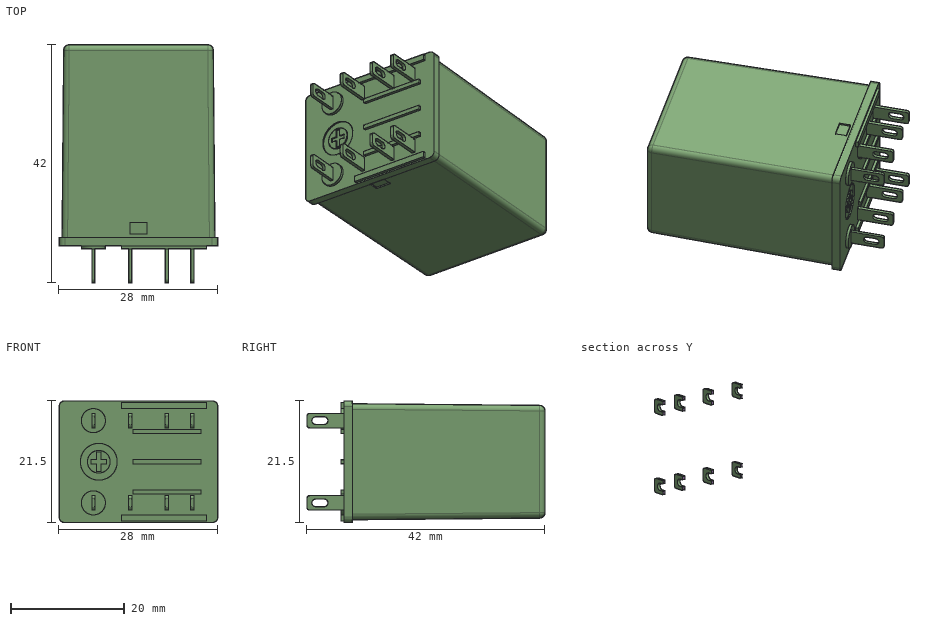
import cadquery as cq
import math


flange_width = 28.0
flange_height = 21.5
flange_thickness = 1.5
flange_corner_radius = 1.0

case_width = 27.0
case_height = 20.5
case_length = 34.0
case_draft_angle = 0.5
case_edge_radius = 1.0

window_width = 3.0
window_length = 2.0
window_depth = 0.3
window_gap = 0.6

raised_height = 0.5
outer_rib_length = 15.0
outer_rib_thickness = 1.1
outer_rib_center_x = 4.5
outer_rib_edge_gap = 0.3
inner_rib_length = 12.0
inner_rib_thickness = 0.75
inner_rib_center_x = 5.0
inner_rib_pitch = 5.35
boss_diameter = 4.25

coil_terminal_x = -7.95
contact_terminal_xs = (-1.45, 5.0, 9.5)
terminal_row_z = 7.25
terminal_length = 6.5
terminal_width = 2.6
coil_terminal_thickness = 0.5
contact_terminal_thickness = 0.6
terminal_tip_radius = 0.5
eyelet_length = 2.8
eyelet_width = 1.3
eyelet_tip_distance = 2.3

key_x = -7.0
key_diameter = 6.5
key_depth = 0.25
button_diameter = 4.0
cross_slot_width = 0.75
cross_arm_length_x = 2.7
cross_arm_length_z = 3.5
cross_depth = 0.25


def box_between_y(size_x, size_z, center_x, center_z, y_start, y_end):
    """Block with the given XZ section and Y range."""
    block = cq.Workplane("XY").box(size_x, y_end - y_start, size_z)
    return block.translate((center_x, (y_start + y_end) / 2, center_z))


def disc_between_y(diameter, center_x, center_z, y_start, y_end):
    """Cylinder along Y with the given Y range."""
    disc = cq.Workplane("XZ", origin=(center_x, y_end, center_z)).circle(diameter / 2)
    return disc.extrude(y_end - y_start)


def make_flange():
    flange = box_between_y(flange_width, flange_height, 0, 0, 0, flange_thickness)
    return flange.edges("|Y").fillet(flange_corner_radius)


def make_case():
    """Drafted block, narrowing away from the base, rounded on all but the base edges."""
    profile = cq.Workplane("XZ", origin=(0, flange_thickness, 0)).rect(case_width, case_height)
    case = profile.extrude(-case_length, taper=case_draft_angle)
    return case.edges("not <Y").fillet(case_edge_radius)


def make_window(side):
    """Block that sinks a window into the drafted case wall on the given Z side."""
    y_start = flange_thickness + window_gap
    wall_drop = (window_gap + window_length / 2) * math.tan(math.radians(case_draft_angle))
    floor_z = case_height / 2 - wall_drop - window_depth
    cutter_height = case_height / 2 - floor_z
    center_z = side * (floor_z + cutter_height / 2)
    return box_between_y(window_width, cutter_height, 0, center_z, y_start, y_start + window_length)


def make_rib(length, thickness, center_x, center_z):
    return box_between_y(length, thickness, center_x, center_z, -raised_height, 0)


def make_terminal(center_x, center_z, thickness):
    """Blade terminal with a rounded tip and a slotted eyelet."""
    blade = box_between_y(thickness, terminal_width, center_x, center_z, -terminal_length, 0)
    blade = blade.faces("<Y").edges("|X").fillet(terminal_tip_radius)
    eyelet_y = eyelet_tip_distance - terminal_length
    eyelet = cq.Workplane("YZ", origin=(center_x, eyelet_y, center_z)).slot2D(eyelet_length, eyelet_width)
    return blade.cut(eyelet.extrude(thickness, both=True))


def make_key_recess():
    """Ring-shaped recess left around the button, plus the cross slot in the button."""
    ring = disc_between_y(key_diameter, key_x, 0, 0, key_depth)
    ring = ring.cut(disc_between_y(button_diameter, key_x, 0, 0, key_depth))
    arm_x = box_between_y(cross_arm_length_x, cross_slot_width, key_x, 0, 0, cross_depth)
    arm_z = box_between_y(cross_slot_width, cross_arm_length_z, key_x, 0, 0, cross_depth)
    return ring.union(arm_x.union(arm_z))


result = make_flange().union(make_case())
result = result.cut(make_key_recess())
result = result.union(make_rib(inner_rib_length, inner_rib_thickness, inner_rib_center_x, 0))

outer_rib_z = flange_height / 2 - outer_rib_edge_gap - outer_rib_thickness / 2
for side in (1, -1):
    row_z = side * terminal_row_z
    result = result.cut(make_window(side))
    result = result.union(
        make_rib(outer_rib_length, outer_rib_thickness, outer_rib_center_x, side * outer_rib_z)
    )
    result = result.union(
        make_rib(inner_rib_length, inner_rib_thickness, inner_rib_center_x, side * inner_rib_pitch)
    )
    result = result.union(disc_between_y(boss_diameter, coil_terminal_x, row_z, -raised_height, 0))
    result = result.union(make_terminal(coil_terminal_x, row_z, coil_terminal_thickness))
    for contact_x in contact_terminal_xs:
        result = result.union(make_terminal(contact_x, row_z, contact_terminal_thickness))